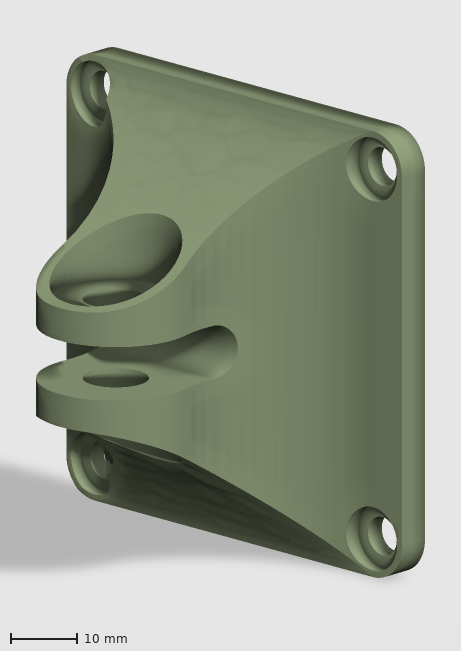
import cadquery as cq
import math

plate_size = 70.0
plate_thickness = 5.0
plate_corner_radius = 6.0

screw_offset = plate_size / 2 - plate_corner_radius
screw_hole_diameter = 6.0
screw_head_diameter = 10.0
screw_head_depth = 2.0

eye_radius = 12.0
pin_diameter = 10.0
pin_head_diameter = 20.0
lug_floor_thickness = 4.0

half_width = plate_size / 2
right_flare_radius = 18.0
right_flare_start = screw_offset
flare_center_to_eye = math.sqrt((right_flare_radius + eye_radius) ** 2 - right_flare_start**2)
pivot_distance = plate_thickness + right_flare_radius + flare_center_to_eye

plate_to_pivot = pivot_distance - plate_thickness
left_flare_radius = (half_width**2 + plate_to_pivot**2 - eye_radius**2) / (
    2 * (plate_to_pivot + eye_radius)
)

tip_distance = pivot_distance + eye_radius
tip_half_height = 9.33
plate_end_handle = 8.44
tip_end_handle = 7.38

slot_width = 8.4
slot_bottom_distance = 16.8

pin_head_floor = slot_width / 2 + lug_floor_thickness


def point_on_arc(center, radius, target):
    """Point of a circle that lies in the direction of the target point."""
    reach = math.dist(center, target)
    return tuple(c + radius * (t - c) / reach for c, t in zip(center, target))


def middle_of_arc(center, radius, start, end):
    """Point halfway along the shorter arc between two points of a circle."""
    chord_middle = ((start[0] + end[0]) / 2, (start[1] + end[1]) / 2)
    return point_on_arc(center, radius, chord_middle)


def make_rounded_block(depth):
    """Square block with the rounded corners of the plate, reaching from Y = 0 towards -Y."""
    block = cq.Workplane("XZ").rect(plate_size, plate_size).extrude(depth)
    return block.edges("|Y").fillet(plate_corner_radius)


def make_flared_prism():
    """Web and eye outline in the XY plane, extruded over the full plate height."""
    pivot = (0, -pivot_distance)
    left_center = (-half_width, -plate_thickness - left_flare_radius)
    right_center = (right_flare_start, -plate_thickness - right_flare_radius)
    left_start = (-half_width, -plate_thickness)
    right_start = (right_flare_start, -plate_thickness)
    left_end = point_on_arc(left_center, left_flare_radius, pivot)
    right_end = point_on_arc(right_center, right_flare_radius, pivot)
    outline = (
        cq.Workplane("XY", origin=(0, 0, -half_width))
        .moveTo(-half_width, 0)
        .lineTo(*left_start)
        .threePointArc(middle_of_arc(left_center, left_flare_radius, left_start, left_end), left_end)
        .threePointArc((0, -tip_distance), right_end)
        .threePointArc(middle_of_arc(right_center, right_flare_radius, right_start, right_end), right_start)
        .lineTo(right_flare_start, 0)
        .close()
    )
    return outline.extrude(plate_size)


def taper_curve(sign):
    """Control points (Y, Z) from plate edge to eye tip; the sign selects the upper or lower side."""
    return [
        (-plate_thickness, sign * half_width),
        (-plate_thickness, sign * (half_width - plate_end_handle)),
        (-tip_distance + tip_end_handle, sign * tip_half_height),
        (-tip_distance, sign * tip_half_height),
    ]


def make_side_profile():
    """Tapering outline in the YZ plane, extruded across the plate width."""
    upper = taper_curve(1)
    lower = taper_curve(-1)
    outline = (
        cq.Workplane("YZ", origin=(-half_width, 0, 0))
        .moveTo(0, half_width)
        .lineTo(*upper[0])
        .bezier(upper[1:], includeCurrent=True)
        .lineTo(*lower[-1])
        .bezier(lower[-2::-1], includeCurrent=True)
        .lineTo(0, -half_width)
        .close()
    )
    return outline.extrude(plate_size)


def make_slot():
    """Cutter with a round bottom, open towards -Y."""
    round_center = -slot_bottom_distance - slot_width / 2
    straight_length = tip_distance + round_center
    straight = cq.Workplane("XY").box(plate_size, straight_length, slot_width)
    straight = straight.translate((0, round_center - straight_length / 2, 0))
    bottom = cq.Workplane("YZ", origin=(-half_width, round_center, 0)).circle(slot_width / 2)
    return straight.union(bottom.extrude(plate_size))


def make_pivot_bores():
    """Through hole for the pin and a head recess in each lug."""
    axis = cq.Workplane("XY").center(0, -pivot_distance)
    bores = axis.circle(pin_diameter / 2).extrude(pin_head_floor, both=True)
    recess_height = half_width - pin_head_floor
    recess = axis.workplane(offset=pin_head_floor).circle(pin_head_diameter / 2).extrude(recess_height)
    return bores.union(recess).union(recess.mirror("XY"))


def make_screw_bores():
    """Four through holes with head recesses that also clear the web."""
    spacing = 2 * screw_offset
    head_seat = plate_thickness - screw_head_depth
    corners = cq.Workplane("XZ").rect(spacing, spacing, forConstruction=True).vertices()
    holes = corners.circle(screw_hole_diameter / 2).extrude(plate_thickness)
    recesses = corners.circle(screw_head_diameter / 2).extrude(tip_distance)
    return holes.union(recesses.translate((0, -head_seat, 0)))


web = make_flared_prism().intersect(make_side_profile()).intersect(make_rounded_block(tip_distance))
result = make_rounded_block(plate_thickness).union(web)
result = result.cut(make_slot()).cut(make_pivot_bores()).cut(make_screw_bores())